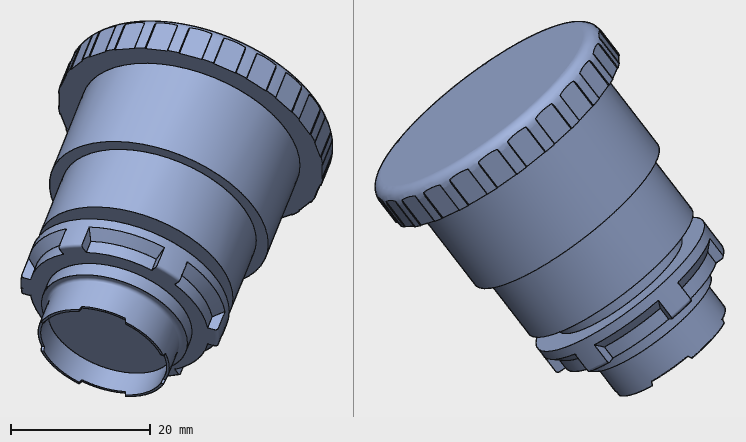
import cadquery as cq
import math


BUTTON_DIAMETER = 40.0
BUTTON_FRONT = 31.0
BUTTON_HEIGHT = 6.0
BUTTON_BACK = BUTTON_FRONT - BUTTON_HEIGHT
BUTTON_EDGE_RADIUS = 2.0

FLAT_COUNT = 24
FLAT_DISTANCE = 19.81
FLAT_FLOOR_WIDTH = 3.34
FLAT_MOUTH_WIDTH = 3.52
FLAT_DEPTH_AT_EDGE = math.sqrt((BUTTON_DIAMETER / 2) ** 2 - (FLAT_MOUTH_WIDTH / 2) ** 2) - FLAT_DISTANCE

SKIRT_DIAMETER = 33.0
SKIRT_LENGTH = 14.4
SKIRT_BACK = BUTTON_BACK - SKIRT_LENGTH
BEZEL_DIAMETER = 29.4
COLLAR_DIAMETER = 22.0
COLLAR_END = -9.5

SLEEVE_DIAMETER = 19.79
SLEEVE_BORE = 19.0
SLEEVE_END = -15.0
SLEEVE_BORE_DEPTH = 4.0
ROOT_FILLET_RADIUS = 0.45
NOTCH_COUNT = 4
NOTCH_FLOOR_WIDTH = 6.5
NOTCH_MOUTH_WIDTH = 7.0
NOTCH_DEPTH = 0.6

NUT_DIAMETER = 29.9
NUT_FRONT = -2.4
NUT_BACK = -7.4
NUT_EDGE_RADIUS = 0.45
NUT_TOOTH_COUNT = 6
NUT_TOOTH_WIDTH = 4.0
NUT_GROOVE_DIAMETER = 27.0
NUT_RIM_WIDTH = 1.5
NUT_GROOVE_SLOPE_LENGTH = (NUT_DIAMETER - NUT_GROOVE_DIAMETER) / 2

CLEARANCE = 1.0


def revolve_profile(sketch):
    """Turn a closed (radius, Y) outline about the Y axis."""
    return sketch.close().revolve(360, (0, 0, 0), (0, 1, 0))


def cylinder(diameter, y_from, y_to):
    """Solid cylinder on the Y axis from one Y to a higher Y."""
    return cq.Workplane("XZ", origin=(0, y_to, 0)).circle(diameter / 2).extrude(y_to - y_from)


def make_button():
    button = cylinder(BUTTON_DIAMETER, BUTTON_BACK, BUTTON_FRONT)
    button = button.faces(">Y").edges().fillet(BUTTON_EDGE_RADIUS)

    outer_distance = BUTTON_DIAMETER / 2 + CLEARANCE
    wall_flare = (FLAT_MOUTH_WIDTH - FLAT_FLOOR_WIDTH) / 2 / FLAT_DEPTH_AT_EDGE
    outer_half_width = FLAT_FLOOR_WIDTH / 2 + wall_flare * (outer_distance - FLAT_DISTANCE)
    cutter = (
        cq.Workplane("XZ", origin=(0, BUTTON_FRONT, 0))
        .moveTo(FLAT_DISTANCE, -FLAT_FLOOR_WIDTH / 2)
        .lineTo(FLAT_DISTANCE, FLAT_FLOOR_WIDTH / 2)
        .lineTo(outer_distance, outer_half_width)
        .lineTo(outer_distance, -outer_half_width)
        .close()
        .extrude(BUTTON_HEIGHT)
    )
    for index in range(FLAT_COUNT):
        button = button.cut(cutter.rotate((0, 0, 0), (0, 1, 0), index * 360 / FLAT_COUNT))
    return button


def make_body():
    skirt = cylinder(SKIRT_DIAMETER, SKIRT_BACK, BUTTON_BACK)
    bezel = cylinder(BEZEL_DIAMETER, 0, SKIRT_BACK)
    collar = cylinder(COLLAR_DIAMETER, COLLAR_END, 0)
    return skirt.union(bezel).union(collar)


def make_sleeve():
    sleeve_radius = SLEEVE_DIAMETER / 2
    fillet_end = COLLAR_END - ROOT_FILLET_RADIUS
    arc_offset = ROOT_FILLET_RADIUS * (1 - math.sqrt(0.5))
    sleeve = revolve_profile(
        cq.Workplane("XY")
        .moveTo(0, COLLAR_END)
        .lineTo(sleeve_radius + ROOT_FILLET_RADIUS, COLLAR_END)
        .threePointArc((sleeve_radius + arc_offset, COLLAR_END - arc_offset), (sleeve_radius, fillet_end))
        .lineTo(sleeve_radius, SLEEVE_END)
        .lineTo(0, SLEEVE_END)
    )
    sleeve = sleeve.cut(cylinder(SLEEVE_BORE, SLEEVE_END, SLEEVE_END + SLEEVE_BORE_DEPTH))

    notch_floor = SLEEVE_END + NOTCH_DEPTH
    cutter = (
        cq.Workplane("XY")
        .moveTo(-NOTCH_FLOOR_WIDTH / 2, notch_floor)
        .lineTo(NOTCH_FLOOR_WIDTH / 2, notch_floor)
        .lineTo(NOTCH_MOUTH_WIDTH / 2, SLEEVE_END)
        .lineTo(-NOTCH_MOUTH_WIDTH / 2, SLEEVE_END)
        .close()
        .extrude(SLEEVE_DIAMETER)
    )
    for index in range(NOTCH_COUNT):
        sleeve = sleeve.cut(cutter.rotate((0, 0, 0), (0, 1, 0), index * 360 / NOTCH_COUNT))
    return sleeve


def make_lock_nut():
    nut_radius = NUT_DIAMETER / 2
    groove_radius = NUT_GROOVE_DIAMETER / 2
    groove_start = NUT_FRONT - NUT_RIM_WIDTH
    core = revolve_profile(
        cq.Workplane("XY")
        .moveTo(0, NUT_FRONT)
        .lineTo(nut_radius, NUT_FRONT)
        .lineTo(nut_radius, groove_start)
        .lineTo(groove_radius, groove_start - NUT_GROOVE_SLOPE_LENGTH)
        .lineTo(groove_radius, NUT_BACK)
        .lineTo(0, NUT_BACK)
    )

    outline = cylinder(NUT_DIAMETER, NUT_BACK, NUT_FRONT).faces("<Y").edges().fillet(NUT_EDGE_RADIUS)
    bar_height = NUT_FRONT - NUT_BACK
    bar = cq.Workplane("XY").box(NUT_DIAMETER, bar_height, NUT_TOOTH_WIDTH)
    bar = bar.translate((0, (NUT_FRONT + NUT_BACK) / 2, 0))
    for index in range(NUT_TOOTH_COUNT // 2):
        turned_bar = bar.rotate((0, 0, 0), (0, 1, 0), index * 360 / NUT_TOOTH_COUNT)
        core = core.union(outline.intersect(turned_bar))
    return core


result = make_button().union(make_body()).union(make_sleeve()).union(make_lock_nut())